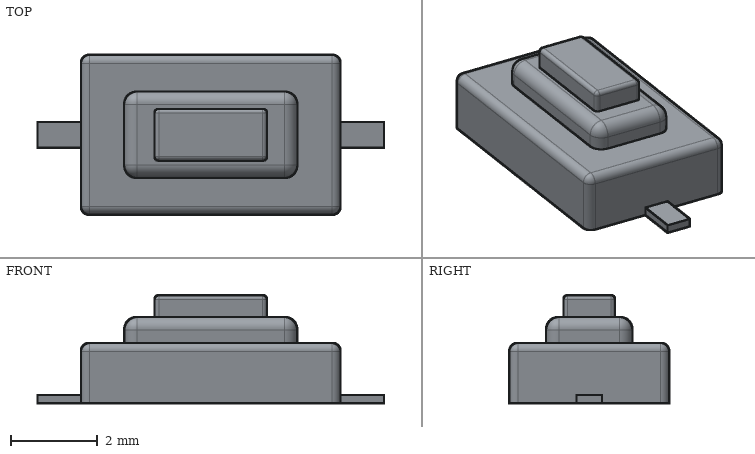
import cadquery as cq

housing_length = 6.0
housing_width = 3.7
housing_height = 1.4
housing_fillet = 0.2

collar_length = 4.0
collar_width = 2.0
collar_height = 0.6
collar_fillet = 0.3

button_length = 2.6
button_width = 1.2
button_height = 0.5
button_fillet = 0.1

terminal_span = 8.0
terminal_width = 0.6
terminal_thickness = 0.2


def rounded_block(length, width, height, fillet, base_z):
    """Block centred on Z, with its upright and top edges rounded."""
    block = cq.Workplane("XY").workplane(offset=base_z).box(
        length, width, height, centered=(True, True, False)
    )
    return block.edges("|Z or >Z").fillet(fillet)


def terminal_strip():
    """Strip through the housing whose ends form the two terminals."""
    return cq.Workplane("XY").box(
        terminal_span, terminal_width, terminal_thickness, centered=(True, True, False)
    )


collar_base = housing_height
button_base = collar_base + collar_height

housing = rounded_block(housing_length, housing_width, housing_height, housing_fillet, 0)
collar = rounded_block(collar_length, collar_width, collar_height, collar_fillet, collar_base)
button = rounded_block(button_length, button_width, button_height, button_fillet, button_base)

result = housing.union(collar).union(button).union(terminal_strip())